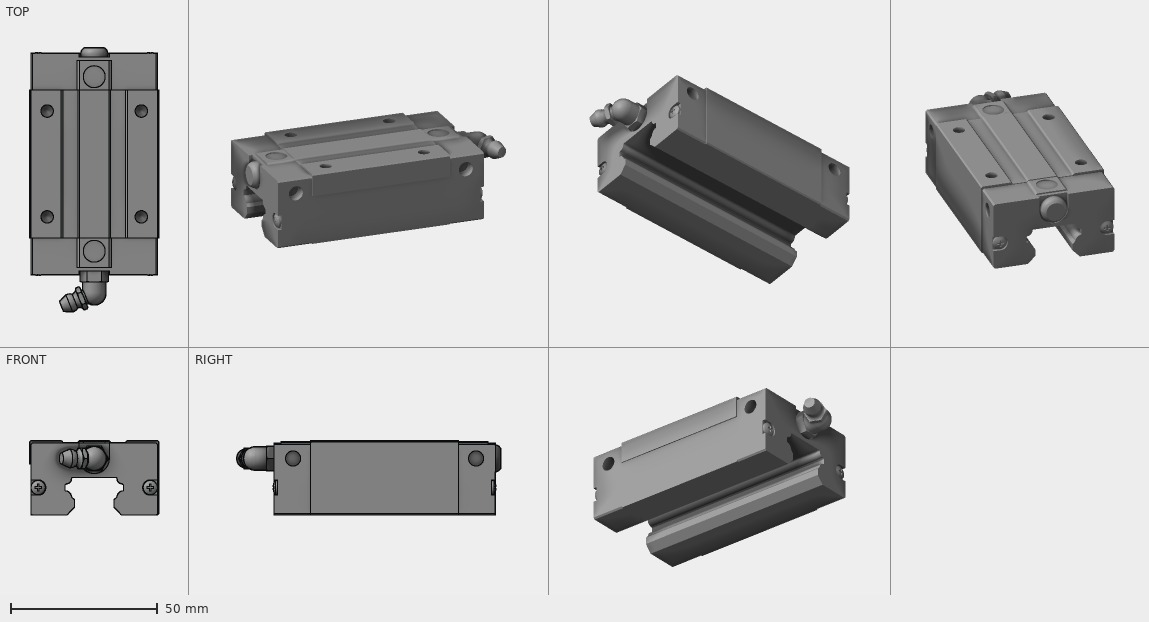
import cadquery as cq
import math


block_length = 50.4
block_width = 44.0
block_height = 25.4
relief_half_width = 21.6
relief_height = 17.5
block_chamfer = 0.45
channel_height = 12.8
groove_depth = 0.6
block_strip_half_width = 4.95
pad_inner_edge = 11.25

mount_spacing_x = 32.0
mount_spacing_y = 36.0
mount_diameter = 4.2
mount_depth = 9.9
drill_point_angle = 118.0

cap_half_width = 21.6
cap_height = 24.5
cap_chamfer = 0.5
cap_body_length = 10.0
end_plate_thickness = 2.5
strip_top = 25.0
strip_half_width = 5.0
strip_foot_half_width = 5.85
disc_diameter = 7.5
disc_depth = 0.45
disc_offset = 4.5
port_diameter = 5.1
port_depth = 4.5
port_offset = 5.9

recess_depth = 1.3
fitting_height = 19.3
fitting_recess_radius = 5.1
screw_x = 19.1
screw_height = 9.4
screw_recess_radius = 2.6
screw_head_radius = 2.4
screw_head_rim = 0.7
screw_head_height = 1.5
cross_length = 2.3
cross_width = 0.6
cross_depth = 0.5

plug_radius = 4.6
plug_flat_radius = 3.3
plug_rim = 0.5
plug_end = 39.6

base_hex_corner_radius = 4.9
base_hex_length = 3.8
elbow_radius = 4.05
elbow_length = 3.8
hex_chamfer = 0.5
nipple_angle = 22.0
nipple_hex_corner_radius = 4.05
nipple_hex_start = 3.8
nipple_hex_end = 5.5
nipple_neck = 7.1
nipple_shoulder = 9.2
nipple_tip = 12.1
flare_radius = 3.4
neck_radius = 2.6
shoulder_radius = 3.15
tip_radius = 1.9
flare_mid = (6.0, 2.9)
shoulder_mid = (8.0, 3.1)

block_half_width = block_width / 2
block_end = block_length / 2
body_end = block_end + cap_body_length
plate_end = body_end + end_plate_thickness
recess_floor = plate_end - recess_depth
plug_length = plug_end - recess_floor


def prism_along_y(outline, y_start, y_end):
    """Extrude a closed XZ outline between two Y positions."""
    return outline.extrude(y_start - y_end).translate((0, y_start, 0))


def both_ends(shape):
    """Add the mirror image of a +Y end feature at the -Y end."""
    return shape.union(shape.mirror("XZ"))


def both_sides(shape):
    """Add the mirror image of a +X side feature at the -X side."""
    return shape.union(shape.mirror("YZ"))


def rail_channel():
    """Undercut channel for the rail; its lips carry rounded ball-track corners."""
    half = (
        cq.Workplane("XZ")
        .moveTo(0, 0)
        .lineTo(9.3, 0)
        .lineTo(6.7, 2.7)
        .lineTo(6.7, 5.1)
        .lineTo(7.65, 6.1)
        .threePointArc((8.1, 7.3), (9.2, 8.2))
        .lineTo(9.9, 8.3)
        .lineTo(9.9, 10.3)
        .lineTo(9.45, 10.6)
        .threePointArc((8.2, 11.2), (7.7, 12.2))
        .lineTo(7.65, 12.6)
        .lineTo(7.4, channel_height)
        .lineTo(0, channel_height)
        .close()
    )
    return both_sides(prism_along_y(half, -plate_end, plate_end))


def block():
    """Steel block with two top grooves and a relieved lower flank at -X."""
    groove_floor = block_height - groove_depth
    outline = cq.Workplane("XZ").polyline([
        (-relief_half_width, 0),
        (block_half_width - block_chamfer, 0),
        (block_half_width, block_chamfer),
        (block_half_width, block_height - block_chamfer),
        (block_half_width - block_chamfer, block_height),
        (pad_inner_edge, block_height),
        (pad_inner_edge - groove_depth, groove_floor),
        (block_strip_half_width + groove_depth, groove_floor),
        (block_strip_half_width, block_height),
        (-block_strip_half_width, block_height),
        (-block_strip_half_width - groove_depth, groove_floor),
        (-pad_inner_edge + groove_depth, groove_floor),
        (-pad_inner_edge, block_height),
        (-block_half_width + block_chamfer, block_height),
        (-block_half_width, block_height - block_chamfer),
        (-block_half_width, relief_height),
        (-relief_half_width, relief_height),
    ]).close()
    return prism_along_y(outline, -block_end, block_end)


def mounting_holes():
    """Four blind holes with drill points, opening on the top pads."""
    radius = mount_diameter / 2
    point_length = radius / math.tan(math.radians(drill_point_angle / 2))
    hole = (
        cq.Workplane("XZ")
        .polyline([(0, 0), (radius, 0), (radius, -mount_depth), (0, -mount_depth - point_length)])
        .close()
        .revolve(360, (0, 0, 0), (0, 1, 0))
        .translate((mount_spacing_x / 2, mount_spacing_y / 2, block_height))
    )
    return both_ends(both_sides(hole))


def end_cap():
    """Cap body and end plate at +Y, with the raised strip, disc recess and flank ports."""
    length = plate_end - block_end
    cap = (
        cq.Workplane("XY")
        .box(2 * cap_half_width, length, cap_height, centered=(True, False, False))
        .edges("|Y")
        .chamfer(cap_chamfer)
        .translate((0, block_end, 0))
    )
    strip_outline = cq.Workplane("XZ").polyline([
        (-strip_foot_half_width, cap_height),
        (strip_foot_half_width, cap_height),
        (strip_half_width, strip_top),
        (-strip_half_width, strip_top),
    ]).close()
    cap = cap.union(prism_along_y(strip_outline, block_end, body_end))

    disc = (
        cq.Workplane("XY", origin=(0, block_end + disc_offset, strip_top))
        .circle(disc_diameter / 2)
        .extrude(-disc_depth)
    )
    port = (
        cq.Workplane("YZ", origin=(cap_half_width, block_end + port_offset, fitting_height))
        .circle(port_diameter / 2)
        .extrude(-port_depth)
    )
    return cap.cut(disc).cut(both_sides(port))


def slot_recess(radius, x, z, length, angle):
    """Recess in the +Y end plate: a round end at (x, z) opening straight out to an edge."""
    round_end = cq.Workplane("XZ").circle(radius)
    recess = prism_along_y(round_end, recess_floor, plate_end)
    throat = cq.Workplane("XZ").center(length / 2, 0).rect(length, 2 * radius)
    recess = recess.union(prism_along_y(throat, recess_floor, plate_end))
    return recess.rotate((0, 0, 0), (0, 1, 0), angle).translate((x, 0, z))


def end_plate_recesses():
    """U-shaped recess for the fitting and two for the screws, cut into the +Y end plate."""
    fitting = slot_recess(fitting_recess_radius, 0, fitting_height, block_height - fitting_height, -90)
    screw = slot_recess(screw_recess_radius, screw_x, screw_height, block_half_width - screw_x, 0)
    return fitting.union(both_sides(screw))


def screw_heads():
    """Domed cross-recess screw heads sitting in the +Y end plate."""
    dome_height = screw_head_height - screw_head_rim
    sphere_radius = (screw_head_radius**2 + dome_height**2) / (2 * dome_height)
    mid_radius = screw_head_radius / 2
    mid_height = screw_head_height - sphere_radius + math.sqrt(sphere_radius**2 - mid_radius**2)
    head = (
        cq.Workplane("XY")
        .lineTo(screw_head_radius, 0)
        .lineTo(screw_head_radius, screw_head_rim)
        .threePointArc((mid_radius, mid_height), (0, screw_head_height))
        .close()
        .revolve(360, (0, 0, 0), (0, 1, 0))
    )
    arm = cq.Workplane("XY").box(cross_length, 2 * cross_depth, cross_width)
    cross = arm.union(arm.rotate((0, 0, 0), (0, 1, 0), 90))
    head = head.cut(cross.translate((0, screw_head_height, 0)))
    return both_sides(head.translate((screw_x, recess_floor, screw_height)))


def plug():
    """Button plug closing the lubrication port at +Y."""
    corner = math.sqrt(0.5)
    dome_width = plug_radius - plug_flat_radius
    dome_height = plug_length - plug_rim
    return (
        cq.Workplane("XY")
        .lineTo(plug_radius, 0)
        .lineTo(plug_radius, plug_rim)
        .threePointArc(
            (plug_flat_radius + corner * dome_width, plug_rim + corner * dome_height),
            (plug_flat_radius, plug_length),
        )
        .lineTo(0, plug_length)
        .close()
        .revolve(360, (0, 0, 0), (0, 1, 0))
        .translate((0, recess_floor, fitting_height))
    )


def hexagon(corner_radius, length, chamfer_start):
    """Hexagonal bar along +X with two corners in the XY plane, its corners turned down at the ends."""
    bar = cq.Workplane("YZ").polygon(6, 2 * corner_radius).extrude(length)
    envelope = cq.Workplane("YZ").circle(corner_radius).extrude(length)
    envelope = envelope.faces(">X").edges().chamfer(hex_chamfer / 2, hex_chamfer)
    if chamfer_start:
        envelope = envelope.faces("<X").chamfer(hex_chamfer / 2, hex_chamfer)
    return bar.intersect(envelope)


def grease_nipple():
    """Elbow fitting: hexagonal base, round elbow ending in a ball, and the angled nipple."""
    base = hexagon(base_hex_corner_radius, base_hex_length, False)
    elbow = cq.Workplane("YZ", origin=(base_hex_length, 0, 0)).circle(elbow_radius).extrude(elbow_length)
    ball_x = base_hex_length + elbow_length
    stem = base.union(elbow).union(cq.Workplane("XY").sphere(elbow_radius).translate((ball_x, 0, 0)))
    stem = stem.rotate((0, 0, 0), (0, 0, 1), -90).translate((0, -recess_floor, fitting_height))

    spout = (
        cq.Workplane("XY")
        .lineTo(0, neck_radius)
        .lineTo(nipple_hex_end, neck_radius)
        .lineTo(nipple_hex_end, flare_radius)
        .threePointArc(flare_mid, (nipple_neck, neck_radius))
        .threePointArc(shoulder_mid, (nipple_shoulder, shoulder_radius))
        .lineTo(nipple_tip, tip_radius)
        .lineTo(nipple_tip, 0)
        .close()
        .revolve(360, (0, 0, 0), (1, 0, 0))
    )
    nut = hexagon(nipple_hex_corner_radius, nipple_hex_end - nipple_hex_start, True)
    nipple = (
        spout.union(nut.translate((nipple_hex_start, 0, 0)))
        .rotate((0, 0, 0), (0, 0, 1), 180 + nipple_angle)
        .translate((0, -recess_floor - ball_x, fitting_height))
    )
    return stem.union(nipple)


carriage = block().cut(mounting_holes())
carriage = carriage.union(both_ends(end_cap()))
carriage = carriage.cut(rail_channel())
carriage = carriage.cut(both_ends(end_plate_recesses()))
carriage = carriage.union(both_ends(screw_heads()))
result = carriage.union(plug()).union(grease_nipple())